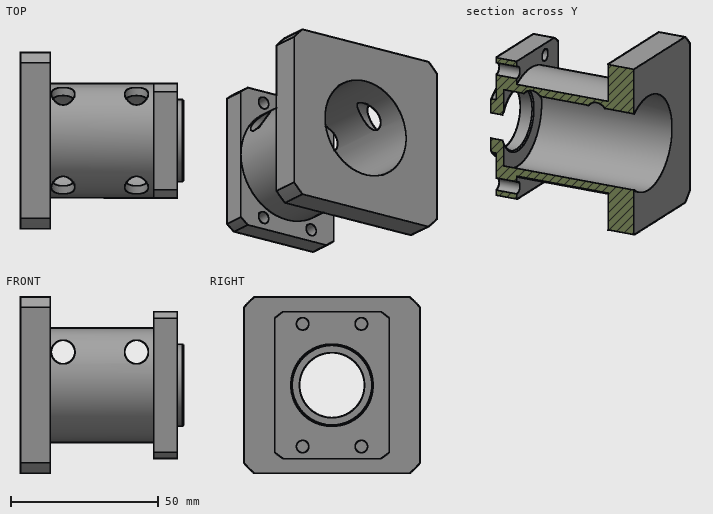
import cadquery as cq

overall_length = 55.5
flange_side = 60.0
flange_thickness = 10.2
flange_corner_diameter = 80.0
tube_diameter = 39.0
bore_diameter = 34.0
plate_start = 45.3
plate_thickness = 8.1
plate_width = tube_diameter
plate_height = 50.0
plate_corner_diameter = 60.0
spigot_diameter = 28.0
spigot_chamfer = 0.5
end_wall = 3.0
end_hole_diameter = 22.0
end_hole_chamfer = 0.5
cross_hole_diameter = 8.0
cross_hole_height = 11.3
cross_hole_stations = (14.5, 39.5)
bolt_hole_diameter = 4.2
bolt_spacing_y = 20.0
bolt_spacing_z = 41.7

plate_end = plate_start + plate_thickness
bore_depth = plate_end - end_wall


def section_at(x):
    """Workplane across the axis at station x: local x is Y, local y is Z."""
    return cq.Workplane("YZ", origin=(x, 0, 0))


def cylinder(start, end, diameter):
    return section_at(start).circle(diameter / 2).extrude(end - start)


def turned_plate(start, thickness, width, height, corner_diameter):
    """Rectangular plate whose corners are turned down to a common circle."""
    blank = section_at(start).rect(width, height).extrude(thickness)
    return blank.intersect(cylinder(start, start + thickness, corner_diameter))


flange = turned_plate(0, flange_thickness, flange_side, flange_side, flange_corner_diameter)
plate = turned_plate(plate_start, plate_thickness, plate_width, plate_height, plate_corner_diameter)
tube = cylinder(0, plate_end, tube_diameter)
spigot = cylinder(plate_start, overall_length, spigot_diameter).faces(">X").chamfer(spigot_chamfer)
body = flange.union(tube).union(plate).union(spigot)

body = body.cut(cylinder(0, bore_depth, bore_diameter))
end_hole = cylinder(bore_depth, overall_length, end_hole_diameter)
rim_chamfer = (
    section_at(bore_depth)
    .circle(end_hole_diameter / 2 + end_hole_chamfer)
    .workplane(offset=end_hole_chamfer)
    .circle(end_hole_diameter / 2)
    .loft()
)
body = body.cut(end_hole).cut(rim_chamfer)

cross_holes = (
    cq.Workplane("XZ")
    .pushPoints([(x, cross_hole_height) for x in cross_hole_stations])
    .circle(cross_hole_diameter / 2)
    .extrude(tube_diameter, both=True)
)
body = body.cut(cross_holes)

bolt_holes = (
    section_at(plate_start)
    .rect(bolt_spacing_y, bolt_spacing_z, forConstruction=True)
    .vertices()
    .circle(bolt_hole_diameter / 2)
    .extrude(plate_thickness)
)
result = body.cut(bolt_holes)